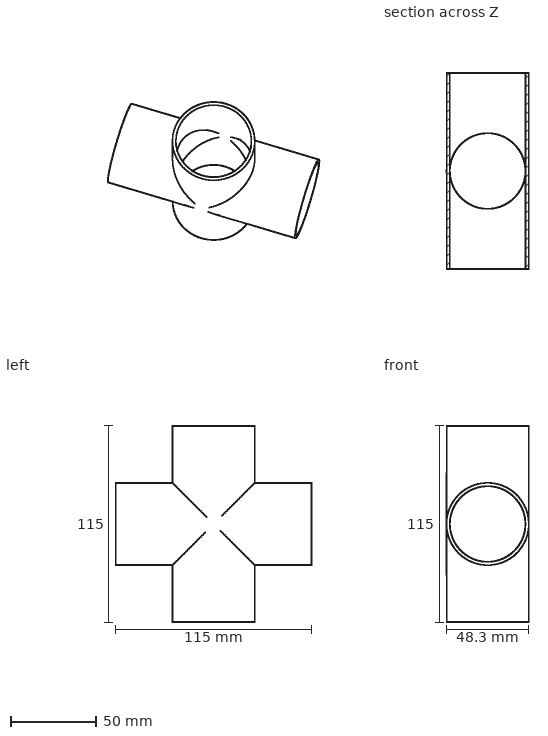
import cadquery as cq

overall_length = 115.0
outer_diameter = 48.3
inner_diameter = 44.3


def crossed_cylinders(diameter):
    """Two full-length cylinders along Y and Z, fused about the origin."""
    half_length = overall_length / 2
    along_z = cq.Workplane("XY").circle(diameter / 2).extrude(half_length, both=True)
    along_y = cq.Workplane("XZ").circle(diameter / 2).extrude(half_length, both=True)
    return along_z.union(along_y)


result = crossed_cylinders(outer_diameter).cut(crossed_cylinders(inner_diameter))